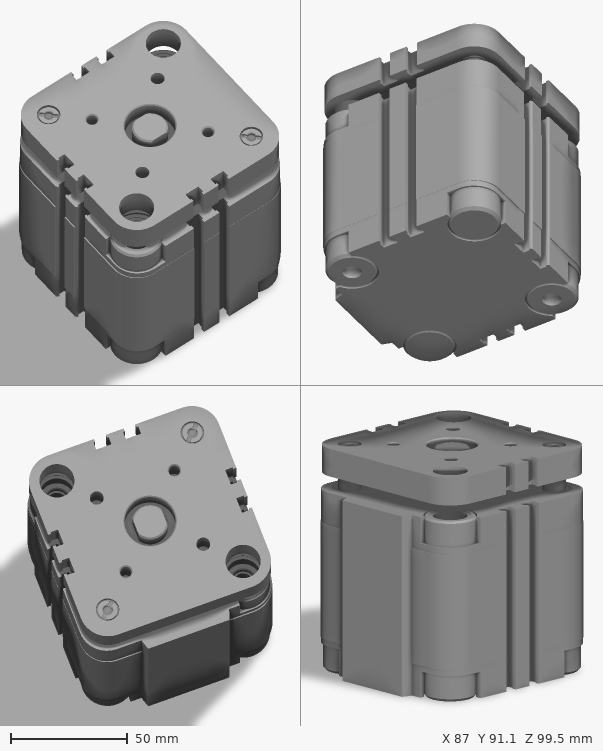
import cadquery as cq
import math

total_height = 99.5
corner_pitch = 61.9
corner_offset = corner_pitch / 2
guide_rod_places = [(-corner_offset, -corner_offset), (corner_offset, corner_offset)]
mount_hole_places = [(-corner_offset, corner_offset), (corner_offset, -corner_offset)]

slot_offset = 6.8
slot_mouth = 5.4
slot_width = 7.0
slot_lip = 1.9
slot_depth = 5.3
slot_chamfer = 0.7

housing_width = 87.0
housing_height = 79.9
housing_half = housing_width / 2
barrel_corner = 12.4
cap_x = 86.8
cap_y = 86.0
cap_corner = 12.1
cap_height = 14.5

rail_top = 47.6
rail_top_width = 37.2
rail_base_width = 39.8
rail_fillet = 0.8

boss_diameter = 23.0
boss_inner_reach = 6.0
bottom_boss_height = 11.7
top_boss_height = 11.4
bottom_boss_chamfer = 1.3
top_boss_chamfer = 0.9

mount_rim_diameter = 17.9
mount_rim_depth = 0.3
mount_bore_diameter = 15.0
mount_bore_depth = 7.0
mount_step_diameter = 10.0
mount_step_depth = 3.0
mount_step_chamfer = 0.5
mount_hole_diameter = 8.4

rod_seat_diameter = 15.0
rod_seat_depth = 0.3

plate_width = 86.0
plate_thickness = 12.2
plate_corner = 12.3
plate_bottom = total_height - plate_thickness

plate_bore_diameter = 23.0
plate_bore_chamfer = 0.5
plate_bore_depth = 8.0
plate_access_diameter = 15.0

small_hole_offset = 17.7
small_hole_diameter = 6.0
tapped_hole_diameter = 4.9

piston_rod_diameter = 16.0
piston_rod_flats = 13.0
piston_flats_start = 1.4
piston_end_diameter = 15.4
piston_end_chamfer = 0.7
piston_end_drop = 1.0
piston_step_diameter = 16.0
piston_step_depth = 0.5

guide_rod_diameter = 10.0
guide_collar_diameter = 11.0
guide_collar_height = 0.7
guide_recess_diameter = 10.0
guide_recess_depth = 1.5
guide_end_diameter = 8.6
guide_end_drop = 0.4
guide_end_hole = 4.9
guide_end_hole_chamfer = 0.4
guide_end_hole_depth = 1.5
guide_slot_width = 2.0
guide_slot_depth = 1.0


def cylinder(place, diameter, bottom, top):
    """Upright cylinder between two heights."""
    return cq.Workplane("XY", origin=(*place, bottom)).circle(diameter / 2).extrude(top - bottom)


def cone(place, bottom_diameter, top_diameter, bottom, top):
    """Upright truncated cone between two heights."""
    return cq.Workplane(cq.Solid.makeCone(
        bottom_diameter / 2, top_diameter / 2, top - bottom,
        pnt=cq.Vector(*place, bottom), dir=cq.Vector(0, 0, 1),
    ))


def rounded_block(x_size, y_size, corner, bottom, top):
    """Upright block with rounded vertical edges."""
    block = cq.Workplane("XY", origin=(0, 0, bottom)).rect(x_size, y_size).extrude(top - bottom)
    return block.edges("|Z").fillet(corner)


def t_slot_pair(face, bottom, top, chamfer=0.0):
    """Cutter for the two T-slots of the -Y side, whose surface lies at Y = -face."""
    floor_y = slot_depth - housing_half
    lip_y = slot_lip - housing_half
    half_mouth = slot_mouth / 2
    half_slot = slot_width / 2
    half_entry = half_mouth + chamfer
    right_side = [(half_slot, floor_y), (half_slot, lip_y), (half_mouth, lip_y)]
    if chamfer:
        right_side.append((half_mouth, chamfer - face))
    right_side += [(half_entry, -face), (half_entry, -face - 1)]
    left_side = [(-x, y) for x, y in reversed(right_side)]
    slot = cq.Workplane("XY", origin=(0, 0, bottom)).polyline(right_side + left_side).close().extrude(top - bottom)
    return slot.translate((-slot_offset, 0, 0)).union(slot.translate((slot_offset, 0, 0)))


def side_slots(pair):
    """Two copies of the -Y slot pair, turned to the -X and +X sides."""
    turn = ((0, 0, 0), (0, 0, 1))
    return pair.rotate(*turn, -90).union(pair.rotate(*turn, 90))


def make_rail():
    """Tapered rail along the +Y side of the housing."""
    root_y = cap_y / 2 - 1
    half_base = rail_base_width / 2
    half_top = rail_top_width / 2
    rail = (
        cq.Workplane("XY")
        .polyline([
            (-half_base, root_y), (half_base, root_y), (half_base, housing_half),
            (half_top, rail_top), (-half_top, rail_top), (-half_base, housing_half),
        ])
        .close()
        .extrude(housing_height)
    )
    return rail.faces(">Y").edges("|Z").fillet(rail_fillet)


def boss_corner_cutter(place, end_z, inward, height, chamfer):
    """Material removed around one round boss; `inward` is +1 from the bottom end, -1 from the top."""
    sign_x = math.copysign(1, place[0])
    sign_y = math.copysign(1, place[1])
    pocket_size = housing_half + boss_inner_reach - corner_offset
    pocket_shift = pocket_size / 2 - boss_inner_reach
    inner_z = end_z + inward * height
    chamfer_z = end_z + inward * chamfer
    pocket = (
        cq.Workplane("XY", origin=(0, 0, min(end_z, inner_z)))
        .center(place[0] + sign_x * pocket_shift, place[1] + sign_y * pocket_shift)
        .rect(pocket_size, pocket_size)
        .extrude(height)
        .cut(cylinder(place, boss_diameter, 0, housing_height))
    )
    small = boss_diameter - 2 * chamfer
    ring = cylinder(place, boss_diameter, min(end_z, chamfer_z), max(end_z, chamfer_z))
    if inward > 0:
        ring = ring.cut(cone(place, small, boss_diameter, end_z, chamfer_z))
    else:
        ring = ring.cut(cone(place, boss_diameter, small, chamfer_z, end_z))
    return pocket.union(ring)


def mount_hole_cutter(place):
    """Stepped mounting hole through the housing."""
    bore_floor = housing_height - mount_bore_depth
    step_floor = bore_floor - mount_step_depth
    step_top = mount_step_diameter + 2 * mount_step_chamfer
    cutter = cylinder(place, mount_hole_diameter, 0, housing_height)
    cutter = cutter.union(cylinder(place, mount_step_diameter, step_floor, bore_floor))
    cutter = cutter.union(
        cone(place, mount_step_diameter, step_top, bore_floor - mount_step_chamfer, bore_floor)
    )
    cutter = cutter.union(cylinder(place, mount_bore_diameter, bore_floor, housing_height))
    return cutter.union(
        cylinder(place, mount_rim_diameter, housing_height - mount_rim_depth, housing_height)
    )


def make_housing():
    """Barrel with two end caps, rail, T-slots, corner bosses and mounting holes."""
    barrel_top = housing_height - cap_height
    housing = rounded_block(housing_width, housing_width, barrel_corner, cap_height, barrel_top)
    for bottom, top in [(0, cap_height), (barrel_top, housing_height)]:
        housing = housing.union(rounded_block(cap_x, cap_y, cap_corner, bottom, top))
    housing = housing.union(make_rail())

    housing = housing.cut(t_slot_pair(cap_y / 2, 0, housing_height, slot_chamfer))
    housing = housing.cut(side_slots(t_slot_pair(housing_half, 0, housing_height)))

    for place in guide_rod_places + mount_hole_places:
        housing = housing.cut(boss_corner_cutter(place, 0, 1, bottom_boss_height, bottom_boss_chamfer))
    for place in mount_hole_places:
        housing = housing.cut(
            boss_corner_cutter(place, housing_height, -1, top_boss_height, top_boss_chamfer)
        )
        housing = housing.cut(mount_hole_cutter(place))
    for place in guide_rod_places:
        housing = housing.cut(
            cylinder(place, rod_seat_diameter, housing_height - rod_seat_depth, housing_height)
        )
    return housing


def make_plate():
    """Square plate with T-slots, access openings and small holes."""
    half_plate = plate_width / 2
    plate = rounded_block(plate_width, plate_width, plate_corner, plate_bottom, total_height)
    slots = t_slot_pair(half_plate, plate_bottom, total_height)
    plate = plate.cut(slots).cut(side_slots(slots))

    for place in mount_hole_places:
        plate = plate.cut(cylinder(place, plate_access_diameter, plate_bottom, total_height))
    for x, y in [(-1, 1), (1, -1)]:
        place = (x * small_hole_offset, y * small_hole_offset)
        plate = plate.cut(cylinder(place, small_hole_diameter, plate_bottom, total_height))
    chamfer = (small_hole_diameter - tapped_hole_diameter) / 2
    for side in (-1, 1):
        place = (side * small_hole_offset, side * small_hole_offset)
        plate = plate.cut(cylinder(place, tapped_hole_diameter, plate_bottom, total_height))
        plate = plate.cut(
            cone(place, tapped_hole_diameter, small_hole_diameter, total_height - chamfer, total_height)
        )

    bore_floor = total_height - plate_bore_depth
    bore = plate_bore_diameter - 2 * plate_bore_chamfer
    plate = plate.cut(cylinder((0, 0), bore, bore_floor, total_height))
    plate = plate.cut(
        cone((0, 0), bore, plate_bore_diameter, total_height - plate_bore_chamfer, total_height)
    )
    return plate.cut(cylinder((0, 0), piston_step_diameter, bore_floor - piston_step_depth, bore_floor))


def make_piston_rod():
    """Central rod: round foot, two flats facing Y below the plate, two facing X in the plate bore."""
    flats_bottom = housing_height + piston_flats_start
    shank = cylinder((0, 0), piston_rod_diameter, flats_bottom, plate_bottom).intersect(
        cq.Workplane("XY", origin=(0, 0, flats_bottom))
        .rect(piston_rod_diameter, piston_rod_flats)
        .extrude(plate_bottom - flats_bottom)
    )
    end_bottom = total_height - plate_bore_depth - piston_step_depth
    end_top = total_height - piston_end_drop
    end = cylinder((0, 0), piston_end_diameter, end_bottom, end_top).faces(">Z").chamfer(piston_end_chamfer)
    end = end.intersect(
        cq.Workplane("XY", origin=(0, 0, end_bottom))
        .rect(piston_rod_flats, piston_end_diameter)
        .extrude(end_top - end_bottom)
    )
    foot = cylinder((0, 0), piston_rod_diameter, housing_height, flats_bottom)
    return foot.union(shank).union(end)


def make_guide_rod(place):
    """Guide rod below the plate with a thin collar against the plate."""
    rod = cylinder(place, guide_rod_diameter, housing_height - rod_seat_depth, plate_bottom)
    collar = cylinder(place, guide_collar_diameter, plate_bottom - guide_collar_height, plate_bottom)
    return rod.union(collar)


def guide_recess(place):
    """Ring-shaped recess around the slotted end of a guide rod in the top of the plate."""
    floor = total_height - guide_recess_depth
    end_top = total_height - guide_end_drop
    end = cylinder(place, guide_end_diameter, floor, end_top)
    hole_floor = end_top - guide_end_hole_depth
    hole = guide_end_hole - 2 * guide_end_hole_chamfer
    slot = (
        cq.Workplane("XY", origin=(*place, end_top - guide_slot_depth))
        .transformed(rotate=(0, 0, 45))
        .rect(guide_recess_diameter, guide_slot_width)
        .extrude(guide_slot_depth)
    )
    recess = cylinder(place, guide_recess_diameter, floor, total_height).cut(end.cut(slot))
    recess = recess.union(cylinder(place, hole, hole_floor, end_top))
    return recess.union(cone(place, hole, guide_end_hole, end_top - guide_end_hole_chamfer, end_top))


def make_moving_plate():
    """Plate, piston rod and guide rods as one body."""
    moving_plate = make_plate().union(make_piston_rod())
    for place in guide_rod_places:
        moving_plate = moving_plate.union(make_guide_rod(place)).cut(guide_recess(place))
    return moving_plate


housing = make_housing()
moving_plate = make_moving_plate()

result = cq.Compound.makeCompound([housing.val(), moving_plate.val()])